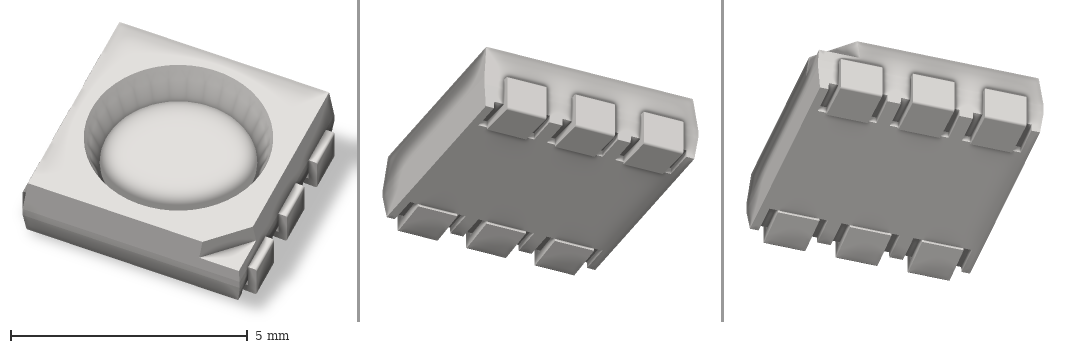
import cadquery as cq

HOUSING_SIDE = 5.0
HOUSING_BOTTOM_Z = 0.11
LOWER_HEIGHT = 0.5
BAND_HEIGHT = 0.2
UPPER_HEIGHT = 0.8
UPPER_DRAFT = 6.0
LOWER_DRAFT = 7.0
BAND_BOTTOM_Z = HOUSING_BOTTOM_Z + LOWER_HEIGHT
BAND_TOP_Z = BAND_BOTTOM_Z + BAND_HEIGHT
HOUSING_TOP_Z = BAND_TOP_Z + UPPER_HEIGHT

CUP_TOP_RADIUS = 4.0 / 2
RESIN_TOP_RADIUS = 3.33 / 2
RESIN_TOP_Z = BAND_TOP_Z
RESIN_THICKNESS = BAND_HEIGHT
RESIN_BOTTOM_Z = RESIN_TOP_Z - RESIN_THICKNESS
CUP_SLOPE = (CUP_TOP_RADIUS - RESIN_TOP_RADIUS) / (HOUSING_TOP_Z - RESIN_TOP_Z)
CUP_FLOOR_RADIUS = RESIN_TOP_RADIUS - CUP_SLOPE * RESIN_THICKNESS

NOTCH_LEG = 0.98
NOTCH_DEPTH = 0.49

LEAD_SPAN = 5.4
LEAD_THICKNESS = (LEAD_SPAN - HOUSING_SIDE) / 2
LEAD_WIDTH = 0.92
LEAD_PITCH = 1.6
LEADS_PER_SIDE = 3
FOOT_LENGTH = 1.015
FOOT_RISE = 0.055
LEAD_EDGE_RADIUS = 0.05
FOOT_SLOPE = FOOT_RISE / (FOOT_LENGTH - LEAD_EDGE_RADIUS)

POCKET_WIDTH = 1.3
POCKET_DEPTH = 0.15

LEAD_POSITIONS = [(i - (LEADS_PER_SIDE - 1) / 2) * LEAD_PITCH for i in range(LEADS_PER_SIDE)]


def make_housing_block():
    """Square block with a straight band between two tapered parts."""
    upper = (
        cq.Workplane("XY", origin=(0, 0, BAND_TOP_Z))
        .rect(HOUSING_SIDE, HOUSING_SIDE)
        .extrude(UPPER_HEIGHT, taper=UPPER_DRAFT)
    )
    band = (
        cq.Workplane("XY", origin=(0, 0, BAND_BOTTOM_Z))
        .rect(HOUSING_SIDE, HOUSING_SIDE)
        .extrude(BAND_HEIGHT)
    )
    lower = (
        cq.Workplane("XY", origin=(0, 0, BAND_BOTTOM_Z))
        .rect(HOUSING_SIDE, HOUSING_SIDE)
        .extrude(-LOWER_HEIGHT, taper=LOWER_DRAFT)
    )
    return upper.union(band).union(lower)


def make_cone(bottom_radius, bottom_z, top_radius, top_z):
    """Truncated cone around the Z axis."""
    return cq.Workplane(
        cq.Solid.makeCone(bottom_radius, top_radius, top_z - bottom_z, cq.Vector(0, 0, bottom_z))
    )


def make_notch_cutter():
    """Triangular prism that takes the +X, -Y corner off the top of the housing."""
    half = HOUSING_SIDE / 2
    return (
        cq.Workplane("XY", origin=(0, 0, HOUSING_TOP_Z - NOTCH_DEPTH))
        .polyline([(half, -half), (half, NOTCH_LEG - half), (half - NOTCH_LEG, -half)])
        .close()
        .extrude(NOTCH_DEPTH)
    )


def make_pocket_cutter(side, y):
    """Box for one foot pocket, open at the bottom and at the side of the housing."""
    return (
        cq.Workplane("XY", origin=(side * (LEAD_SPAN - FOOT_LENGTH) / 2, y, HOUSING_BOTTOM_Z))
        .rect(FOOT_LENGTH, POCKET_WIDTH)
        .extrude(POCKET_DEPTH)
    )


def make_housing():
    housing = make_housing_block()
    housing = housing.cut(make_cone(CUP_FLOOR_RADIUS, RESIN_BOTTOM_Z, CUP_TOP_RADIUS, HOUSING_TOP_Z))
    housing = housing.cut(make_notch_cutter())
    for side in (-1, 1):
        for y in LEAD_POSITIONS:
            housing = housing.cut(make_pocket_cutter(side, y))
    return housing


def make_resin():
    """Resin layer that fills the bottom of the cup."""
    return make_cone(CUP_FLOOR_RADIUS, RESIN_BOTTOM_Z, RESIN_TOP_RADIUS, RESIN_TOP_Z)


def make_lead(side, y):
    """L-shaped lead: a leg against the housing band and a foot that rises towards its tip.

    The outer edges at the top of the leg and at the heel are rounded.
    """
    outer_x = side * LEAD_SPAN / 2
    inner_x = outer_x - side * LEAD_THICKNESS
    tip_x = outer_x - side * FOOT_LENGTH
    heel_z = -FOOT_SLOPE * LEAD_EDGE_RADIUS
    foot_top_z = heel_z + LEAD_THICKNESS * (1 + FOOT_SLOPE)
    profile = [
        (outer_x, heel_z),
        (tip_x, FOOT_RISE),
        (tip_x, FOOT_RISE + LEAD_THICKNESS),
        (inner_x, foot_top_z),
        (inner_x, BAND_TOP_Z),
        (outer_x, BAND_TOP_Z),
    ]
    lead = (
        cq.Workplane("XZ", origin=(0, y, 0))
        .polyline(profile)
        .close()
        .extrude(LEAD_WIDTH / 2, both=True)
    )
    for edge_z in (heel_z, BAND_TOP_Z):
        outer_edge = cq.selectors.NearestToPointSelector((outer_x, y, edge_z))
        lead = lead.edges(outer_edge).fillet(LEAD_EDGE_RADIUS)
    return lead


housing = make_housing()
resin = make_resin()
leads = [make_lead(side, y) for side in (-1, 1) for y in LEAD_POSITIONS]

result = cq.Compound.makeCompound([housing.val(), resin.val(), *[lead.val() for lead in leads]])